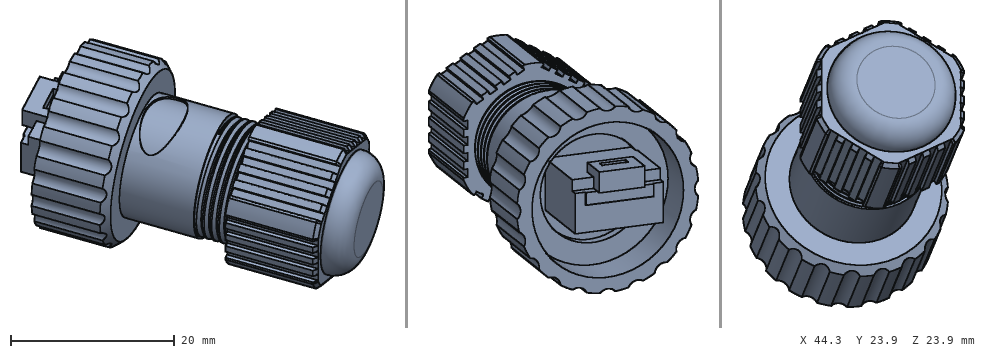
import cadquery as cq
import math


RING_FRONT = 4.7
FLANGE_FRONT = 9.45
RING_REAR = 14.7
BARREL_END = 24.45
NUT_FRONT = 29.1
NUT_REAR = 41.1
TOTAL_LENGTH = 44.3

RING_RADIUS = 12.0
RING_CHAMFER = 1.0
RING_BORE_RADIUS = 10.0
RING_WALL = 1.0
RING_WALL_X = RING_REAR - RING_WALL
FLUTE_COUNT = 20
FLUTE_WIDTH = 2.0
FLUTE_BOTTOM_RADIUS = 11.5

FLANGE_RADIUS = 9.9
SOCKET_RADIUS = 7.0
SOCKET_DEPTH = 1.35
BARREL_RADIUS = 7.97
BADGE_X = 17.45
BADGE_LENGTH = 4.95
BADGE_WIDTH = 10.15
BADGE_DEPTH = 0.25
THREAD_RADIUS = 7.7
THREAD_DEPTH = 0.55
THREAD_CREST = 0.2
THREAD_START = 24.35
THREAD_LENGTH = 6.02
THREAD_TURNS = 6
THREAD_PITCH = THREAD_LENGTH / THREAD_TURNS
THREAD_CUT_CLEARANCE = 0.15

NUT_FLAT_DISTANCE = 9.15
NUT_CORNER_RADIUS = 10.0
NUT_CHAMFER = 0.55
NUT_SIDES = 6
GROOVES_PER_SIDE = 4
GROOVE_WIDTH = 1.05
GROOVE_PITCH = 2.1
GROOVE_DEPTH = 0.55
DOME_RADIUS = 7.97
DOME_FILLET = 3.1

PLUG_FRONT = 0.95
PLUG_STEP_X = 1.9
PLUG_WIDTH = 11.65
PLUG_BOTTOM = -2.5
PLUG_STEP_Z = 2.75
PLUG_TOP = 4.2
LATCH_LENGTH = 3.95
LATCH_WIDTH = 6.02
LATCH_TOP = 5.45
LATCH_SLOT_X = 2.25
LATCH_SLOT_LENGTH = 0.85
LATCH_SLOT_WIDTH = 3.4
PLATE_THICKNESS = 0.2
PLATE_WIDTH = 8.95
PLATE_BOTTOM = 1.1


def axial_plane(x):
    """Plane across the axis at x, with local x along +Z and its normal along +X."""
    return cq.Plane(origin=(x, 0, 0), xDir=(0, 0, 1), normal=(1, 0, 0))


def turned_about_axis(shape, angle):
    return shape.rotate((0, 0, 0), (1, 0, 0), angle)


def cylinder(x_start, x_end, radius):
    """Cylinder on the axis whose seam lies on the -Y side, clear of the start of the thread."""
    blank = cq.Workplane(axial_plane(x_start)).circle(radius).extrude(x_end - x_start)
    return turned_about_axis(blank, 90)


def box(x_start, x_end, width, z_bottom, z_top):
    """Box centred on Y = 0."""
    return cq.Workplane("XY").box(
        x_end - x_start, width, z_top - z_bottom, centered=(False, True, False)
    ).translate((x_start, 0, z_bottom))


def make_ring():
    """Fluted coupling ring, closed behind the flange except for the barrel hole."""
    ring = cylinder(RING_FRONT, RING_REAR, RING_RADIUS).faces(">X").chamfer(RING_CHAMFER)

    mouth_distance = math.sqrt(RING_RADIUS**2 - (FLUTE_WIDTH / 2) ** 2)
    flute_depth = mouth_distance - FLUTE_BOTTOM_RADIUS
    flute_radius = ((FLUTE_WIDTH / 2) ** 2 + flute_depth**2) / (2 * flute_depth)
    flutes = (
        cq.Workplane(axial_plane(RING_FRONT))
        .polarArray(FLUTE_BOTTOM_RADIUS + flute_radius, 0, 360, FLUTE_COUNT)
        .circle(flute_radius)
        .extrude(RING_REAR - RING_FRONT)
    )
    cavity = cylinder(RING_FRONT, RING_WALL_X, RING_BORE_RADIUS)
    barrel_hole = cylinder(RING_FRONT, RING_REAR, BARREL_RADIUS)
    return ring.cut(flutes).cut(cavity).cut(barrel_hole)


def make_badge_recess():
    """Oval recess on top of the barrel with a floor concentric with the barrel."""
    oval = (
        cq.Workplane("XY")
        .center(BADGE_X, 0)
        .ellipse(BADGE_LENGTH / 2, BADGE_WIDTH / 2)
        .extrude(BARREL_RADIUS)
    )
    floor = cylinder(RING_WALL_X, BARREL_END, BARREL_RADIUS - BADGE_DEPTH)
    return oval.cut(floor)


def make_thread():
    """Left-hand external thread, running from the barrel shoulder into the nut."""
    cutter_radius = THREAD_RADIUS + THREAD_CUT_CLEARANCE
    half_mouth = (THREAD_PITCH - THREAD_CREST) / 2
    half_cutter = half_mouth * (1 + THREAD_CUT_CLEARANCE / THREAD_DEPTH)
    root_radius = THREAD_RADIUS - THREAD_DEPTH
    path = cq.Wire.makeHelix(THREAD_PITCH, THREAD_LENGTH, root_radius, lefthand=True)
    groove = (
        cq.Workplane("XZ")
        .polyline([
            (root_radius, 0),
            (cutter_radius, half_cutter),
            (cutter_radius, -half_cutter),
        ])
        .close()
        .sweep(cq.Workplane(path), isFrenet=True)
    )
    groove = groove.val().located(cq.Location(axial_plane(THREAD_START)))
    return cylinder(BARREL_END, THREAD_START + THREAD_LENGTH, THREAD_RADIUS).cut(cq.Workplane(groove))


def make_nut():
    """Hexagonal nut with rounded corners, chamfered rear edge and grooved flats."""
    nut_length = NUT_REAR - NUT_FRONT
    hexagon = (
        cq.Workplane(axial_plane(NUT_FRONT))
        .polygon(NUT_SIDES, 2 * NUT_FLAT_DISTANCE / math.cos(math.pi / NUT_SIDES))
        .extrude(nut_length)
    )
    nut = hexagon.intersect(cylinder(NUT_FRONT, NUT_REAR, NUT_CORNER_RADIUS))
    nut = nut.faces(">X").chamfer(NUT_CHAMFER)
    nut_middle = (NUT_FRONT + NUT_REAR) / 2
    groove_floor = NUT_FLAT_DISTANCE - GROOVE_DEPTH
    grooves = (
        cq.Workplane("XZ", origin=(nut_middle, -groove_floor, 0))
        .rarray(0.45, GROOVE_PITCH, 1, GROOVES_PER_SIDE)
        .rect(nut_length, GROOVE_WIDTH)
        .extrude(NUT_CORNER_RADIUS - groove_floor)
    )
    for side in range(NUT_SIDES):
        nut = nut.cut(turned_about_axis(grooves, side * 360 / NUT_SIDES))
    return nut


def make_dome():
    """Rounded end behind the nut."""
    blank = cylinder(NUT_REAR - NUT_CHAMFER, TOTAL_LENGTH, DOME_RADIUS)
    return blank.faces(">X").edges().fillet(DOME_FILLET)


def make_plug():
    """Stepped plug with a slotted latch on top and a thin plate on its front."""
    plug_rear = FLANGE_FRONT + SOCKET_DEPTH
    lower_block = box(PLUG_FRONT, plug_rear, PLUG_WIDTH, PLUG_BOTTOM, PLUG_STEP_Z)
    upper_block = box(PLUG_STEP_X, plug_rear, PLUG_WIDTH, PLUG_STEP_Z, PLUG_TOP)
    plate = box(PLUG_FRONT - PLATE_THICKNESS, PLUG_FRONT, PLATE_WIDTH, PLATE_BOTTOM, PLUG_STEP_Z)
    latch = box(0, LATCH_LENGTH, LATCH_WIDTH, PLUG_STEP_Z, LATCH_TOP)
    slot = box(LATCH_SLOT_X, LATCH_SLOT_X + LATCH_SLOT_LENGTH, LATCH_SLOT_WIDTH, PLUG_TOP, LATCH_TOP)
    return lower_block.union(upper_block).union(plate).union(latch.cut(slot))


def make_connector():
    """Flange, barrel, thread, nut and plug as one solid."""
    flange = cylinder(FLANGE_FRONT, RING_WALL_X, FLANGE_RADIUS)
    socket = cylinder(FLANGE_FRONT, FLANGE_FRONT + SOCKET_DEPTH, SOCKET_RADIUS)
    barrel = cylinder(RING_WALL_X, BARREL_END, BARREL_RADIUS).cut(make_badge_recess())
    connector = flange.cut(socket).union(barrel).union(make_thread())
    return connector.union(make_nut()).union(make_dome()).union(make_plug())


ring = make_ring()
connector = make_connector()
result = cq.Compound.makeCompound([ring.val(), connector.val()])